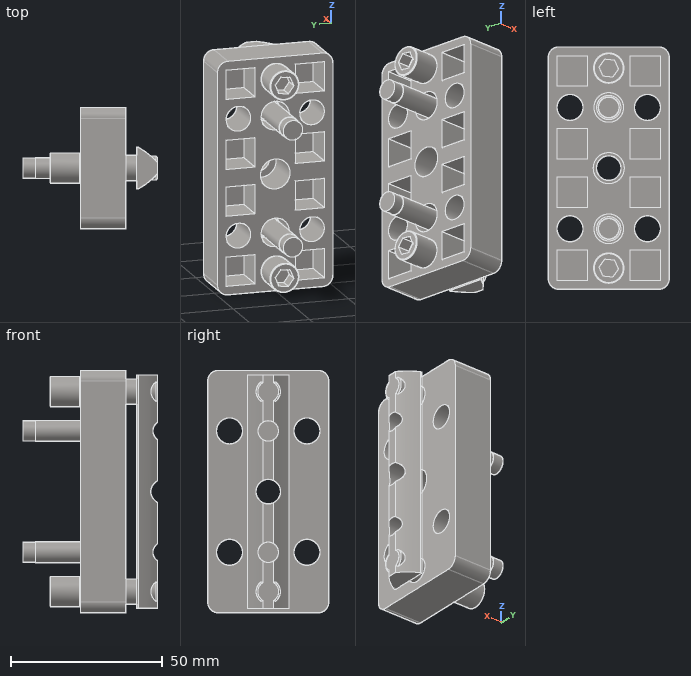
import cadquery as cq


BLOCK_DEPTH = 15.0
BLOCK_WIDTH = 40.0
BLOCK_HEIGHT = 80.0
BLOCK_CORNER_RADIUS = 3.6

POCKET_SIZE = 10.0
POCKET_Y = 12.0
POCKET_ROWS = (8.0, 32.0)
CAVITY_FLOOR = 3.0
CAVITY_DEPTH = BLOCK_DEPTH - CAVITY_FLOOR
CLEARANCE_DIAMETER = 8.5
CLEARANCE_Y = POCKET_Y + (POCKET_SIZE - CLEARANCE_DIAMETER) / 2
CENTRE_BORE_DIAMETER = 10.2

PIN_Z = 20.0
PIN_BORE_DIAMETER = 9.8
PIN_PROJECTION = 19.0
PIN_DIAMETER = 7.0
PIN_TIP_DIAMETER = 6.7
PIN_TIP_LENGTH = 4.2
PIN_COLLAR_DIAMETER = 8.0
PIN_COLLAR_LENGTH = 4.0

RAIL_GAP = 3.5
RAIL_THICKNESS = 7.0
RAIL_LENGTH = 77.0
RAIL_WIDTH = 13.8
RAIL_NOSE_WIDTH = 3.5
RAIL_EDGE_THICKNESS = 0.6
RAIL_FLANK_BULGE = 0.2
RAIL_BACK_X = BLOCK_DEPTH + RAIL_GAP
RAIL_NOSE_X = RAIL_BACK_X + RAIL_THICKNESS
RAIL_CENTRE_HOLE_DIAMETER = 8.0
RAIL_PIN_HOLE_DIAMETER = 6.7

SCREW_Z = 33.0
HEAD_DIAMETER = 10.0
HEAD_LENGTH = 10.0
HEAD_CHAMFER = 0.2
SHANK_DIAMETER = CLEARANCE_DIAMETER
THREAD_DIAMETER = 8.0
THREAD_CHAMFER = 0.6
SOCKET_CORNER_DIAMETER = 6.5
SOCKET_DEPTH = 5.0
SOCKET_TURN = 6.0


def cylinder(diameter, start_x, end_x, y=0.0, z=0.0):
    """Cylinder along X from start_x to end_x, centred on (y, z)."""
    disc = cq.Workplane("YZ", origin=(start_x, y, z)).circle(diameter / 2)
    return disc.extrude(end_x - start_x)


def make_block():
    """Rounded block with eight blind square pockets, four side holes and a centre bore."""
    block = (
        cq.Workplane("YZ")
        .rect(BLOCK_WIDTH, BLOCK_HEIGHT)
        .extrude(BLOCK_DEPTH)
        .edges("|X")
        .fillet(BLOCK_CORNER_RADIUS)
    )
    for row_z in POCKET_ROWS:
        pockets = (
            cq.Workplane("YZ")
            .rect(2 * POCKET_Y, 2 * row_z, forConstruction=True)
            .vertices()
            .rect(POCKET_SIZE, POCKET_SIZE)
            .extrude(CAVITY_DEPTH)
        )
        block = block.cut(pockets)
    for z in (-PIN_Z, PIN_Z):
        for y in (-CLEARANCE_Y, CLEARANCE_Y):
            block = block.cut(cylinder(CLEARANCE_DIAMETER, 0, BLOCK_DEPTH, y, z))
        block = block.cut(cylinder(PIN_BORE_DIAMETER, 0, CAVITY_DEPTH, z=z))
    return block.cut(cylinder(CENTRE_BORE_DIAMETER, 0, BLOCK_DEPTH))


def make_pin(z):
    """Stepped pin with a wider collar at the foot of its bore."""
    tip_end = PIN_TIP_LENGTH - PIN_PROJECTION
    tip = cylinder(PIN_TIP_DIAMETER, -PIN_PROJECTION, tip_end, z=z)
    body = cylinder(PIN_DIAMETER, tip_end, CAVITY_DEPTH, z=z)
    collar = cylinder(PIN_COLLAR_DIAMETER, CAVITY_DEPTH - PIN_COLLAR_LENGTH, CAVITY_DEPTH, z=z)
    return tip.union(body).union(collar)


def make_rail():
    """Rail narrowing along bulged flanks to a flat nose, with three holes through it."""
    half_width = RAIL_WIDTH / 2
    half_nose = RAIL_NOSE_WIDTH / 2
    edge_x = RAIL_BACK_X + RAIL_EDGE_THICKNESS
    flank_x = (edge_x + RAIL_NOSE_X) / 2 + RAIL_FLANK_BULGE
    flank_y = (half_width + half_nose) / 2 + RAIL_FLANK_BULGE
    rail = (
        cq.Workplane("XY", origin=(0, 0, -RAIL_LENGTH / 2))
        .moveTo(RAIL_BACK_X, -half_width)
        .lineTo(edge_x, -half_width)
        .threePointArc((flank_x, -flank_y), (RAIL_NOSE_X, -half_nose))
        .lineTo(RAIL_NOSE_X, half_nose)
        .threePointArc((flank_x, flank_y), (edge_x, half_width))
        .lineTo(RAIL_BACK_X, half_width)
        .close()
        .extrude(RAIL_LENGTH)
    )
    rail = rail.cut(cylinder(RAIL_CENTRE_HOLE_DIAMETER, RAIL_BACK_X, RAIL_NOSE_X))
    for z in (-PIN_Z, PIN_Z):
        rail = rail.cut(cylinder(RAIL_PIN_HOLE_DIAMETER, RAIL_BACK_X, RAIL_NOSE_X, z=z))
    return rail


def make_screw(z):
    """Socket-head screw whose thread ends flush with the rail's nose."""
    head = cylinder(HEAD_DIAMETER, -HEAD_LENGTH, 0, z=z).edges().chamfer(HEAD_CHAMFER)
    socket = (
        cq.Workplane("YZ", origin=(-HEAD_LENGTH, 0, z))
        .transformed(rotate=(0, 0, SOCKET_TURN))
        .polygon(6, SOCKET_CORNER_DIAMETER)
        .extrude(SOCKET_DEPTH)
    )
    shank = cylinder(SHANK_DIAMETER, 0, RAIL_BACK_X, z=z)
    thread = cylinder(THREAD_DIAMETER, RAIL_BACK_X, RAIL_NOSE_X, z=z).faces(">X").chamfer(THREAD_CHAMFER)
    return head.cut(socket).union(shank).union(thread)


result = make_block().union(make_rail())
for side in (-1, 1):
    result = result.union(make_pin(side * PIN_Z))
    result = result.union(make_screw(side * SCREW_Z))